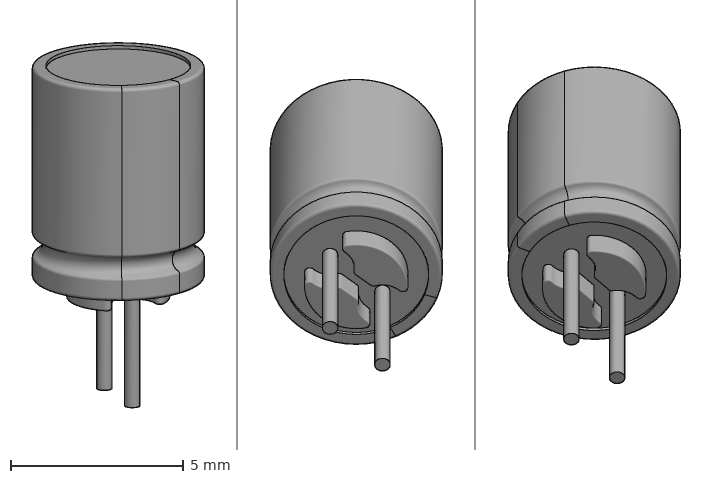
import cadquery as cq
import math


can_radius = 2.4
can_bottom = 0.7
can_top = 6.9

groove_center_height = 1.6
groove_half_height = 0.4
groove_depth = 0.3
groove_radius = (groove_half_height**2 + groove_depth**2) / (2 * groove_depth)
groove_center_radius = can_radius - groove_depth + groove_radius

sleeve_thickness = 0.1
sleeve_radius = can_radius + sleeve_thickness
sleeve_bottom = can_bottom - sleeve_thickness
sleeve_top = can_top + sleeve_thickness
sleeve_groove_radius = groove_radius - sleeve_thickness
opening_radius = 2.1

stripe_angle = 43.0

foot_radius = 1.5
foot_gap = 0.6
foot_corner_fillet = 0.15
foot_edge_fillet = 0.05
lead_clearance_radius = 0.7

lead_diameter = 0.45
lead_pitch = 2.0
lead_length = 3.0
lead_positions = [(-lead_pitch / 2, 0), (lead_pitch / 2, 0)]


def bend_point(radius, height, angle):
    """Point on the sleeve's outer skin where it bends around a can corner, at an angle from radial."""
    turn = math.radians(angle)
    return (
        radius + sleeve_thickness * math.cos(turn),
        height + sleeve_thickness * math.sin(turn),
    )


def can_outline():
    """Half section of the can, on the XZ plane."""
    return (
        cq.Workplane("XZ")
        .moveTo(0, can_bottom)
        .lineTo(can_radius, can_bottom)
        .lineTo(can_radius, groove_center_height - groove_half_height)
        .threePointArc(
            (can_radius - groove_depth, groove_center_height),
            (can_radius, groove_center_height + groove_half_height),
        )
        .lineTo(can_radius, can_top)
        .lineTo(0, can_top)
        .close()
    )


def sleeve_outline():
    """Half section of the sleeve's outer skin, filled in to the axis, on the XZ plane."""
    lower_lip = groove_center_height - groove_half_height
    upper_lip = groove_center_height + groove_half_height
    lip_turn = math.degrees(math.atan2(groove_half_height, groove_center_radius - can_radius))
    groove_floor_radius = groove_center_radius - sleeve_groove_radius
    return (
        cq.Workplane("XZ")
        .moveTo(0, sleeve_bottom)
        .lineTo(can_radius, sleeve_bottom)
        .threePointArc(bend_point(can_radius, can_bottom, -45), (sleeve_radius, can_bottom))
        .lineTo(sleeve_radius, lower_lip)
        .threePointArc(
            bend_point(can_radius, lower_lip, lip_turn / 2),
            bend_point(can_radius, lower_lip, lip_turn),
        )
        .threePointArc(
            (groove_floor_radius, groove_center_height),
            bend_point(can_radius, upper_lip, -lip_turn),
        )
        .threePointArc(bend_point(can_radius, upper_lip, -lip_turn / 2), (sleeve_radius, upper_lip))
        .lineTo(sleeve_radius, can_top)
        .threePointArc(bend_point(can_radius, can_top, 45), (can_radius, sleeve_top))
        .lineTo(0, sleeve_top)
        .close()
    )


def revolved(outline, start_angle, sweep):
    """Turn a half section about Z, from start_angle counterclockwise through sweep degrees."""
    solid = outline.revolve(sweep, (0, 0, 0), (0, -1, 0))
    return solid.rotate((0, 0, 0), (0, 0, 1), start_angle + sweep)


def sleeve_sector(start_angle, sweep):
    """Part of the sleeve that covers the given range of angles."""
    openings = cq.Workplane("XY").circle(opening_radius).extrude(sleeve_top)
    sector = revolved(sleeve_outline(), start_angle, sweep)
    return sector.cut(can_outline().revolve(360, (0, 0, 0), (0, 1, 0))).cut(openings)


def rubber_feet():
    """Two rounded feet under the can, hollowed around the leads and parted by a straight gap."""
    feet = cq.Workplane("XY").circle(foot_radius).extrude(can_bottom)
    gap = cq.Workplane("XY").rect(2 * foot_radius, foot_gap).extrude(can_bottom)
    clearances = cq.Workplane("XY").pushPoints(lead_positions).circle(lead_clearance_radius)
    feet = feet.cut(gap).cut(clearances.extrude(can_bottom))
    feet = feet.edges("|Z").fillet(foot_corner_fillet)
    return feet.faces("<Z").edges().fillet(foot_edge_fillet)


def leads():
    """Two wires that hang from the can's underside to below the feet."""
    return (
        cq.Workplane("XY", origin=(0, 0, -lead_length))
        .pushPoints(lead_positions)
        .circle(lead_diameter / 2)
        .extrude(lead_length + can_bottom)
    )


def capacitor_core():
    """Can with its feet and leads, in one piece."""
    can = can_outline().revolve(360, (0, 0, 0), (0, 1, 0))
    return can.union(rubber_feet()).union(leads())


core = capacitor_core()
stripe = sleeve_sector(-stripe_angle / 2, stripe_angle)
sleeve = sleeve_sector(stripe_angle / 2, 360 - stripe_angle)

result = cq.Compound.makeCompound([core.val(), sleeve.val(), stripe.val()])